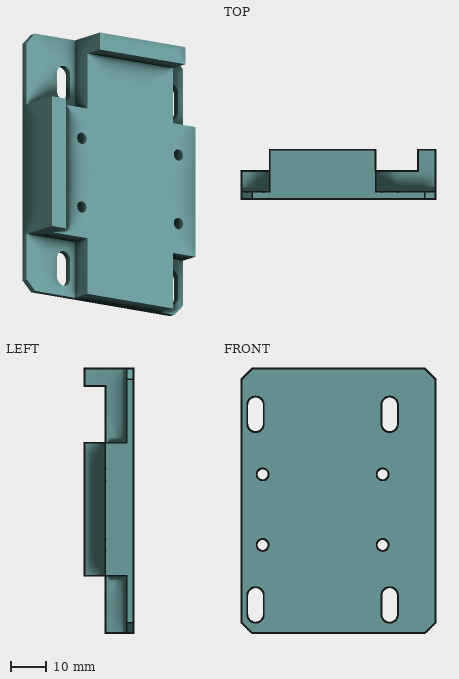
import cadquery as cq

plate_width = 55.0
plate_height = 75.0
plate_thickness = 2.0
corner_chamfer = 3.0

pad_top = 8.0
spine_left = 8.0
spine_width = 30.0
band_bottom = 16.2
band_height = 37.8

rail_top = 14.0
rail_thickness = 5.0

slot_width = 4.6
slot_length = 10.0
slot_columns = (4.0, 42.0)
slot_rows = (8.0, 62.0)

hole_diameter = 3.3
hole_columns = (6.0, 40.0)
hole_rows = (25.0, 45.0)


def block(left, bottom, width, height, front, back):
    """Box given by its lower left corner in XZ and its front and back Y."""
    box = cq.Workplane("XY").box(width, back - front, height, centered=False)
    return box.translate((left, front, bottom))


def make_plate():
    plate = block(0, 0, plate_width, plate_height, 0, plate_thickness)
    return plate.edges("|Y").chamfer(corner_chamfer)


def make_pad():
    spine = block(spine_left, 0, spine_width, plate_height, plate_thickness, pad_top)
    band = block(0, band_bottom, plate_width, band_height, plate_thickness, pad_top)
    return spine.union(band)


def make_rails():
    top_rail = block(
        spine_left, plate_height - rail_thickness, spine_width, rail_thickness, pad_top, rail_top
    )
    side_rail = block(
        plate_width - rail_thickness, band_bottom, rail_thickness, band_height, pad_top, rail_top
    )
    return top_rail.union(side_rail)


def grid(columns, rows):
    """All XZ points where the given columns and rows cross."""
    return [(x, z) for x in columns for z in rows]


def make_slots():
    slots = cq.Workplane("XZ").pushPoints(grid(slot_columns, slot_rows))
    return slots.slot2D(slot_length, slot_width, 90).extrude(-plate_thickness)


def make_screw_holes():
    holes = cq.Workplane("XZ").pushPoints(grid(hole_columns, hole_rows))
    return holes.circle(hole_diameter / 2).extrude(-pad_top)


body = make_plate().union(make_pad()).union(make_rails())
result = body.cut(make_slots()).cut(make_screw_holes())